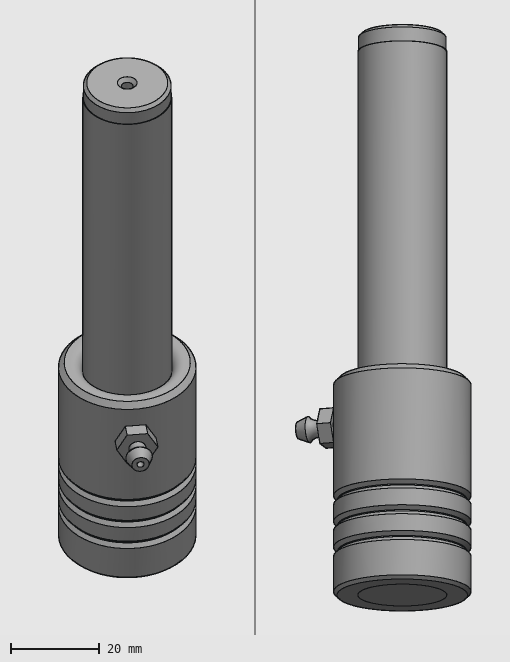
import cadquery as cq
import math

pin_radius = 10.0
pin_length = 130.0
lead_radius = 9.9
lead_length = 4.0
lead_chamfer = 0.8
centre_mouth_radius = 2.2
centre_drill_radius = 1.3
centre_drill_depth = 3.9
countersink_half_angle = 45.0
drill_tip_half_angle = 59.0

bush_radius = 15.5
bush_height = 50.0
bush_top_chamfer = 1.3
bush_bottom_chamfer = 0.8
bore_mouth_round = 2.7
groove_count = 3
groove_first_height = 10.0
groove_pitch = 6.0
groove_width = 2.1
groove_depth = 0.9

fitting_height = 40.0
fitting_angle = 22.5
fitting_length = 9.1
hex_flats = 8.0
hex_thickness = 3.2
neck_radius = 2.0
neck_end = 4.4
head_radius = 3.0
head_middle = 6.5
tip_radius = 2.0
grease_hole_radius = 0.8
grease_hole_depth = 2.6
stub_radius = 2.6
stub_length = 3.2


def axis_point(angle, distance):
    """Point on the XY plane, at an angle from -Y towards +X."""
    return (distance * math.sin(math.radians(angle)), -distance * math.cos(math.radians(angle)))


def fitting_plane(distance):
    """Plane across the fitting axis, facing outwards, at a distance from the bush axis."""
    x, y = axis_point(fitting_angle, distance)
    x_normal, y_normal = axis_point(fitting_angle, 1.0)
    x_direction = (-y_normal, x_normal, 0)
    return cq.Plane(origin=(x, y, fitting_height), xDir=x_direction, normal=(x_normal, y_normal, 0))


def centre_hole():
    """Countersunk centre hole with a conical end, in the top of the pin."""
    countersink_width = centre_mouth_radius - centre_drill_radius
    countersink_depth = countersink_width / math.tan(math.radians(countersink_half_angle))
    tip_depth = centre_drill_radius / math.tan(math.radians(drill_tip_half_angle))
    return (
        cq.Workplane("XZ")
        .moveTo(0, pin_length)
        .lineTo(centre_mouth_radius, pin_length)
        .lineTo(centre_drill_radius, pin_length - countersink_depth)
        .lineTo(centre_drill_radius, pin_length - centre_drill_depth)
        .lineTo(0, pin_length - centre_drill_depth - tip_depth)
        .close()
        .revolve(360, (0, 0, 0), (0, 1, 0))
    )


def make_pin():
    """Straight pin with a slightly slimmer, chamfered lead end."""
    pin = cq.Workplane("XY").circle(pin_radius).extrude(pin_length - lead_length)
    pin = pin.faces(">Z").workplane().circle(lead_radius).extrude(lead_length)
    pin = pin.faces(">Z").chamfer(lead_chamfer)
    return pin.cut(centre_hole())


def ring_groove(height):
    """Ring with sides at 45 degrees and a narrow flat floor, centred at a height."""
    half_width = groove_width / 2
    half_floor = half_width - groove_depth
    return (
        cq.Workplane("XZ")
        .moveTo(bush_radius, height - half_width)
        .lineTo(bush_radius - groove_depth, height - half_floor)
        .lineTo(bush_radius - groove_depth, height + half_floor)
        .lineTo(bush_radius, height + half_width)
        .close()
        .revolve(360, (0, 0, 0), (0, 1, 0))
    )


def stub_hole():
    """Blind hole in the bush that takes the stub of the fitting."""
    return cq.Workplane(fitting_plane(bush_radius)).circle(stub_radius).extrude(-stub_length)


def make_bush():
    """Bored bush with a rounded bore mouth, ring grooves and a hole for the fitting."""
    bush = cq.Workplane("XY").circle(bush_radius).extrude(bush_height)
    bush = bush.faces(">Z").chamfer(bush_top_chamfer)
    bush = bush.faces("<Z").chamfer(bush_bottom_chamfer)
    bush = bush.cut(cq.Workplane("XY").circle(pin_radius).extrude(bush_height))
    bush = bush.faces(">Z").edges(cq.selectors.RadiusNthSelector(0)).fillet(bore_mouth_round)
    for index in range(groove_count):
        bush = bush.cut(ring_groove(groove_first_height + index * groove_pitch))
    return bush.cut(stub_hole())


def nipple():
    """Neck, hollow-backed head and tapered tip, turned about the fitting axis."""
    seat = fitting_plane(bush_radius)
    profile_plane = cq.Plane(origin=seat.origin, xDir=seat.xDir, normal=(0, 0, 1))
    return (
        cq.Workplane(profile_plane)
        .moveTo(0, 0)
        .lineTo(neck_radius, 0)
        .lineTo(neck_radius, -neck_end)
        .tangentArcPoint((head_radius, -head_middle), relative=False)
        .lineTo(tip_radius, -fitting_length)
        .lineTo(0, -fitting_length)
        .close()
        .revolve(360, (0, 0, 0), (0, 1, 0))
    )


def make_fitting():
    """Hexagon and nipple outside the bush, with a stub that fills the hole in the bush."""
    corner_diameter = hex_flats / math.cos(math.radians(30))
    seat = fitting_plane(bush_radius)
    tip = fitting_plane(bush_radius + fitting_length)
    hexagon = cq.Workplane(seat).polygon(6, corner_diameter).extrude(hex_thickness)
    stub = cq.Workplane(seat).circle(stub_radius).extrude(-stub_length)
    grease_hole = cq.Workplane(tip).circle(grease_hole_radius).extrude(-grease_hole_depth)
    return hexagon.union(stub).union(nipple()).cut(grease_hole)


pin = make_pin()
bush = make_bush()
fitting = make_fitting()

result = cq.Compound.makeCompound([pin.val(), bush.val(), fitting.val()])